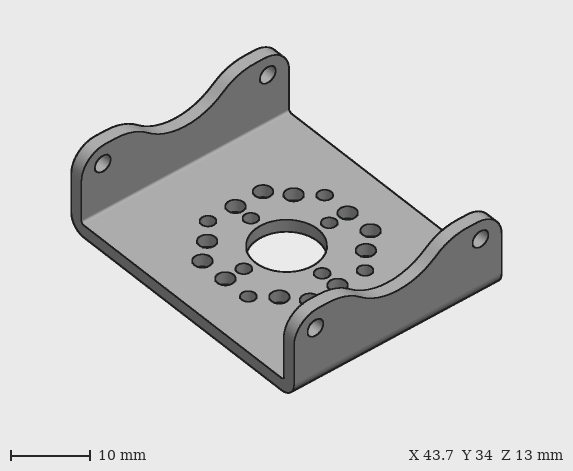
import cadquery as cq
import math

length = 43.7
width = 34.0
height = 13.0
sheet = 2.0
inner_bend = 0.5
outer_bend = inner_bend + sheet

corner_radius = 4.0
crest_radius = 8.0
valley_radius = 9.6
valley_depth = 4.15
flange_hole_diameter = 2.6
flange_hole_spacing = 27.0
flange_hole_drop = 3.0

bore_diameter = 10.2
large_diameter = 2.6
small_diameter = 2.1
inner_ring_radius = 7.0
outer_ring_radius = 10.0
side_offset = 4.5


def bent_channel():
    """U-shaped sheet, bent upward along both ends of the base."""
    outer = cq.Workplane("XY").box(length, width, height, centered=(True, True, False))
    outer = outer.edges("|Y and <Z").fillet(outer_bend)
    inner = (
        cq.Workplane("XY", origin=(0, 0, sheet))
        .box(length - 2 * sheet, width, height, centered=(True, True, False))
        .edges("|Y and <Z")
        .fillet(inner_bend)
    )
    return outer.cut(inner)


def flange_outline():
    """Solid along X whose profile has round corners and a smooth central dip."""
    half = width / 2
    radius_sum = crest_radius + valley_radius
    turn = math.acos(1 - valley_depth / radius_sum)
    crest_y = radius_sum * math.sin(turn)
    meet_y = valley_radius * math.sin(turn)
    meet_z = height - crest_radius * (1 - math.cos(turn))
    crest_mid_y = crest_y - crest_radius * math.sin(turn / 2)
    crest_mid_z = height - crest_radius * (1 - math.cos(turn / 2))
    corner_inset = corner_radius * (1 - math.sqrt(0.5))
    corner_y = half - corner_radius
    corner_z = height - corner_radius
    return (
        cq.Workplane("YZ")
        .moveTo(-half, 0)
        .lineTo(half, 0)
        .lineTo(half, corner_z)
        .threePointArc((half - corner_inset, height - corner_inset), (corner_y, height))
        .lineTo(crest_y, height)
        .threePointArc((crest_mid_y, crest_mid_z), (meet_y, meet_z))
        .threePointArc((0, height - valley_depth), (-meet_y, meet_z))
        .threePointArc((-crest_mid_y, crest_mid_z), (-crest_y, height))
        .lineTo(-corner_y, height)
        .threePointArc((corner_inset - half, height - corner_inset), (-half, corner_z))
        .close()
        .extrude(length / 2, both=True)
    )


def flange_holes():
    """Pins along X that pierce both flanges."""
    hole_y = flange_hole_spacing / 2
    hole_z = height - flange_hole_drop
    return (
        cq.Workplane("YZ")
        .pushPoints([(-hole_y, hole_z), (hole_y, hole_z)])
        .circle(flange_hole_diameter / 2)
        .extrude(length, both=True)
    )


def quarter_turns(x, y):
    """The point and its three copies at quarter turns about the centre."""
    return [(x, y), (-y, x), (-x, -y), (y, -x)]


def base_holes():
    """Central bore with its surrounding large and small through holes."""
    diagonal = outer_ring_radius * math.sqrt(0.5)
    large_points = (
        quarter_turns(outer_ring_radius, 0)
        + quarter_turns(diagonal, diagonal)
        + quarter_turns(side_offset, outer_ring_radius)
    )
    small_points = (
        quarter_turns(inner_ring_radius, 0)
        + quarter_turns(-side_offset, outer_ring_radius)
    )
    bore = cq.Workplane("XY").circle(bore_diameter / 2).extrude(sheet)
    large = cq.Workplane("XY").pushPoints(large_points).circle(large_diameter / 2).extrude(sheet)
    small = cq.Workplane("XY").pushPoints(small_points).circle(small_diameter / 2).extrude(sheet)
    return bore.add(large).add(small).combine()


result = bent_channel().intersect(flange_outline()).cut(flange_holes()).cut(base_holes())